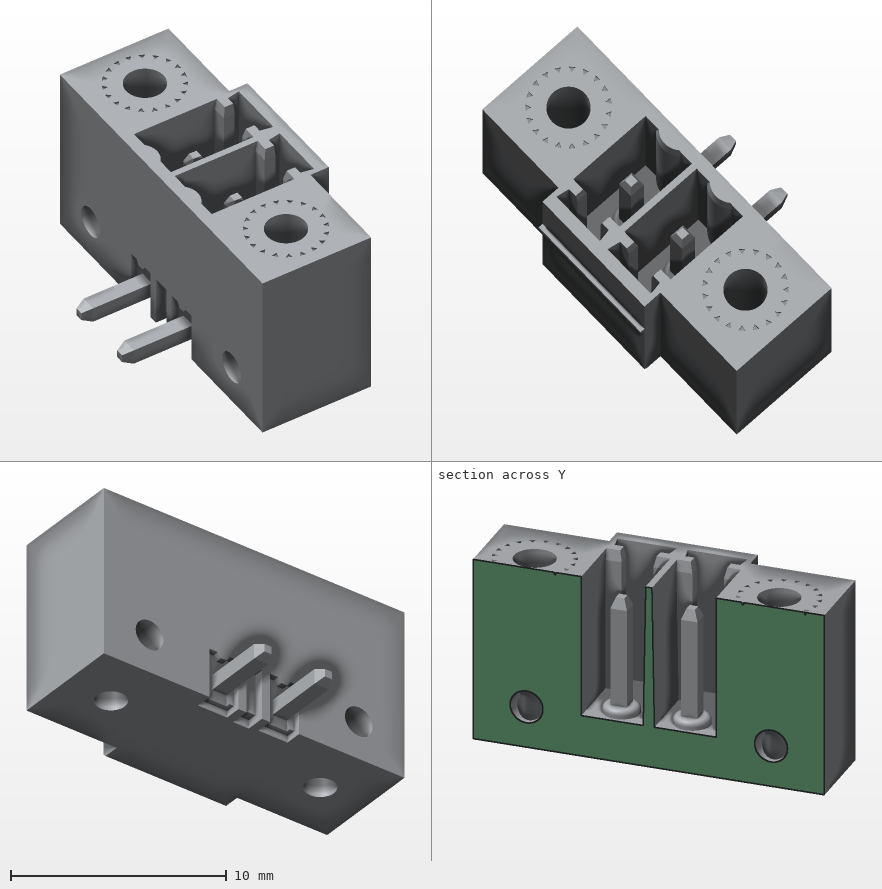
import cadquery as cq
import math


body_width = 17.4
body_height = 9.2
flange_depth = 5.99
housing_depth = 7.0
tongue_width = 6.98
rear_bevel = 0.15

rail_reach = 0.25
rail_top = 5.99
rail_height = 0.4
rail_bevel = 0.14

pitch = 3.5
contact_xs = (-pitch / 2, pitch / 2)
contact_y = 3.0
pin_size = 0.82
pin_tip_size = 0.42
pin_taper = 0.52
pin_leg_z = 1.18
pin_front_reach = 3.41
pin_top = 7.99

cavity_floor = 2.09
cavity_half_width = 1.58
cavity_front = 0.65
cavity_shoulder = 5.2
cavity_key_back = 5.67
cavity_back = 6.35
key_gap_half = 0.9
dovetail_half_front = 1.35
dovetail_half_back = 1.48
lead_in = 0.12
lead_in_depth = 0.54
partition_draft = 0.12
rib_top_radius = 1.03
rib_axis_y = -0.12

collar_diameter = 1.8
collar_height = 0.44
collar_round = 0.26

screw_x = 6.05
screw_bore = 1.6
screw_counterbore = 2.05
screw_seat_z = 3.13
cross_hole_z = 2.07

dent_count = 19
dent_outer_radius = 2.0
dent_length = 0.26
dent_half_width = 0.15
dent_depth = 0.1

opening_height = 2.7
pin_opening_depth = 0.37
middle_opening_depth = 0.5
pin_opening_width = 1.69
middle_opening_width = 0.9
tooth_depth = 0.26
tooth_root_half = 0.35
tooth_tip_half = 0.17
undercut_depth = 0.52
pin_undercut_height = 0.37
middle_undercut_height = 0.47
funnel_half_width = 0.6
funnel_run = 0.23


def box(x_center, width, y_start, y_end, z_start, z_end):
    """Block centred on x_center, with the other sides given by their limits."""
    return (
        cq.Workplane("XY")
        .box(width, y_end - y_start, z_end - z_start, centered=(True, False, False))
        .translate((x_center, y_start, z_start))
    )


def make_housing():
    """Flanged block with a tongue at the back that carries the latch rail."""
    flange = box(0, body_width, 0, flange_depth, 0, body_height)
    rail_bottom = rail_top - rail_height
    rail_back = housing_depth + rail_reach
    tongue = (
        cq.Workplane("YZ")
        .moveTo(0, 0)
        .lineTo(housing_depth - rear_bevel, 0)
        .lineTo(housing_depth, rear_bevel)
        .lineTo(housing_depth, rail_bottom)
        .lineTo(rail_back, rail_bottom + rail_bevel)
        .lineTo(rail_back, rail_top)
        .lineTo(housing_depth, rail_top)
        .lineTo(housing_depth, body_height)
        .lineTo(0, body_height)
        .close()
        .extrude(tongue_width / 2, both=True)
    )
    return flange.union(tongue)


def cavity_outline(x, z, key_inset):
    """Cavity section at height z: chamber, gap between two keys, dovetail at the back.

    The key inset thickens the keys, and draft thickens the centre partition towards the floor.
    """
    outer = math.copysign(cavity_half_width, x)
    draft = partition_draft * (body_height - z) / (body_height - cavity_floor)
    inner = math.copysign(cavity_half_width - draft, -x)
    left = min(outer, inner)
    right = max(outer, inner)
    shoulder = cavity_shoulder - key_inset
    gap = key_gap_half - key_inset
    outline = (
        cq.Workplane("XY", origin=(x, 0, z))
        .moveTo(left, cavity_front)
        .lineTo(right, cavity_front)
        .lineTo(right, shoulder)
        .lineTo(gap, shoulder)
        .lineTo(gap, cavity_key_back)
        .lineTo(dovetail_half_front, cavity_key_back)
        .lineTo(dovetail_half_back, cavity_back)
        .lineTo(-dovetail_half_back, cavity_back)
        .lineTo(-dovetail_half_front, cavity_key_back)
        .lineTo(-gap, cavity_key_back)
        .lineTo(-gap, shoulder)
        .lineTo(left, shoulder)
        .close()
    )
    return outline.wires().val()


def make_cavity(x):
    """Plug cavity with bevelled key tops and a round rib left on its front wall."""
    mouth_z = body_height - lead_in_depth
    floor_outline = cavity_outline(x, cavity_floor, lead_in)
    mouth_outline = cavity_outline(x, mouth_z, lead_in)
    top_outline = cavity_outline(x, body_height, 0)
    deep = cq.Workplane(cq.Solid.makeLoft([floor_outline, mouth_outline], True))
    mouth = cq.Workplane(cq.Solid.makeLoft([mouth_outline, top_outline], True))
    rib_base_radius = rib_top_radius + lead_in
    rib = (
        cq.Workplane("XY", origin=(x, rib_axis_y, cavity_floor))
        .circle(rib_base_radius)
        .extrude(mouth_z - cavity_floor)
    )
    rib_top_center = cq.Vector(x, rib_axis_y, mouth_z)
    rib_top = cq.Solid.makeCone(rib_base_radius, rib_top_radius, lead_in_depth, rib_top_center)
    return deep.union(mouth).cut(rib).cut(cq.Workplane(rib_top))


def make_collar(x):
    """Rounded collar around the pin on the cavity floor."""
    return (
        cq.Workplane("XY", origin=(x, contact_y, cavity_floor))
        .circle(collar_diameter / 2)
        .extrude(collar_height)
        .faces(">Z")
        .edges()
        .fillet(collar_round)
    )


def tapered_bar(plane, length):
    """Square bar along the plane's normal, narrowed at its far end."""
    end_face = cq.DirectionMinMaxSelector(plane.zDir, True)
    shank = cq.Workplane(plane).rect(pin_size, pin_size).extrude(length - pin_taper)
    tip = (
        shank.faces(end_face)
        .workplane(centerOption="CenterOfMass")
        .rect(pin_size, pin_size)
        .workplane(offset=pin_taper)
        .rect(pin_tip_size, pin_tip_size)
        .loft(combine=False)
    )
    return shank.union(tip)


def make_pin(x):
    """Right-angle pin: contact leg pointing up, solder leg pointing forward."""
    corner_z = pin_leg_z - pin_size / 2
    corner_y = contact_y + pin_size / 2
    upward = cq.Plane((x, contact_y, corner_z), (1, 0, 0), (0, 0, 1))
    forward = cq.Plane((x, corner_y, pin_leg_z), (1, 0, 0), (0, -1, 0))
    contact_leg = tapered_bar(upward, pin_top - corner_z)
    solder_leg = tapered_bar(forward, corner_y + pin_front_reach)
    return contact_leg.union(solder_leg)


def make_opening(x, width, depth, undercut_height):
    """Slot open to the front and below, cut deeper along its bottom edge."""
    slot = box(x, width, 0, depth, 0, opening_height)
    undercut = box(x, width, 0, depth + undercut_depth, 0, undercut_height)
    return slot.union(undercut)


def make_pin_opening(x):
    """Slot around a solder leg, with a tooth at its top and a funnel under the leg."""
    tooth = (
        cq.Workplane("XZ", origin=(x, 0, opening_height))
        .moveTo(-tooth_root_half, 0)
        .lineTo(-tooth_tip_half, -tooth_depth)
        .lineTo(tooth_tip_half, -tooth_depth)
        .lineTo(tooth_root_half, 0)
        .close()
        .extrude(-pin_opening_depth)
    )
    leg_bottom = pin_leg_z - pin_size / 2
    funnel_face = (
        cq.Workplane("XZ", origin=(x, pin_opening_depth, 0))
        .moveTo(-funnel_half_width, pin_undercut_height)
        .lineTo(funnel_half_width, pin_undercut_height)
        .lineTo(pin_size / 2, leg_bottom)
        .lineTo(-pin_size / 2, leg_bottom)
        .close()
        .extrude(-funnel_run)
    )
    funnel_wedge = (
        cq.Workplane("YZ", origin=(x, pin_opening_depth, 0))
        .moveTo(0, pin_undercut_height)
        .lineTo(funnel_run, pin_undercut_height)
        .lineTo(0, leg_bottom)
        .close()
        .extrude(funnel_half_width, both=True)
    )
    opening = make_opening(x, pin_opening_width, pin_opening_depth, pin_undercut_height)
    return opening.cut(tooth).union(funnel_face.intersect(funnel_wedge))


def make_screw_hole(x):
    """Stepped vertical hole, met by a cross hole from the front face."""
    bore = cq.Workplane("XY", origin=(x, contact_y, 0)).circle(screw_bore / 2).extrude(body_height)
    counterbore = (
        cq.Workplane("XY", origin=(x, contact_y, screw_seat_z))
        .circle(screw_counterbore / 2)
        .extrude(body_height - screw_seat_z)
    )
    cross_hole = cq.Workplane("XZ", origin=(x, 0, cross_hole_z)).circle(screw_bore / 2).extrude(-contact_y)
    return bore.union(counterbore).union(cross_hole)


def make_dents(x):
    """Ring of triangular dents pointing at the screw hole, starting on the inner side."""
    dent = (
        cq.Workplane("XY")
        .moveTo(dent_outer_radius - dent_length, 0)
        .lineTo(dent_outer_radius, -dent_half_width)
        .lineTo(dent_outer_radius, dent_half_width)
        .close()
        .extrude(-dent_depth)
    )
    start_angle = 180 if x > 0 else 0
    ring = cq.Workplane("XY")
    for index in range(dent_count):
        angle = start_angle + index * 360 / dent_count
        ring = ring.add(dent.rotate((0, 0, 0), (0, 0, 1), angle))
    return ring.combine().translate((x, contact_y, body_height))


result = make_housing()
for screw_side in (-screw_x, screw_x):
    result = result.cut(make_screw_hole(screw_side)).cut(make_dents(screw_side))
result = result.cut(make_opening(0, middle_opening_width, middle_opening_depth, middle_undercut_height))
for contact_x in contact_xs:
    result = result.cut(make_cavity(contact_x)).cut(make_pin_opening(contact_x))
    result = result.union(make_collar(contact_x)).union(make_pin(contact_x))